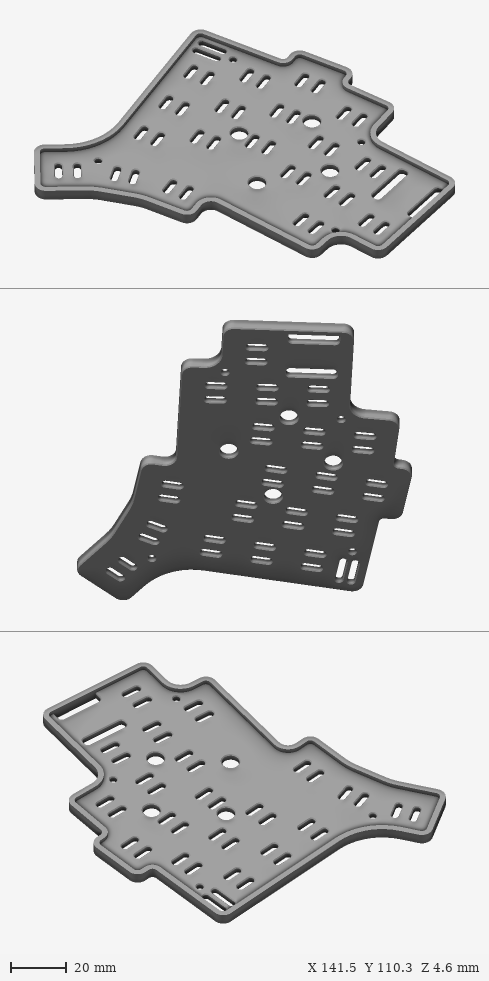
import cadquery as cq
import math

total_height = 4.6
floor_thickness = 2.8
rim_width = 2.1
bottom_chamfer = 0.4
hole_chamfer = 0.4

corner_radius = 4.0
step_radius = 1.9
notch_radius = 6.0
bend_radius = 21.0
hollow_radius = 22.5

ring_tilt = -4
little_tilt = -8
thumb_middle_tilt = 15
thumb_end_tilt = 30

outline_sides = [
    ((-51.54, 16.6), 90, corner_radius),
    ((-31.3, 47.5), 0, step_radius),
    ((-14.93, 49.9), 90, corner_radius),
    ((-1.5, 55.155), 0, corner_radius),
    ((10.21, 49.9), 90, step_radius),
    ((20.7, 47.02), ring_tilt, corner_radius),
    ((31.8, 36.6), 90 + ring_tilt, notch_radius),
    ((52.6, 24.65), little_tilt, corner_radius),
    ((67.67, -2.1), 90 + little_tilt, corner_radius),
    ((55.8, -23.67), little_tilt, notch_radius),
    ((44.43, -30.0), 90 + little_tilt, corner_radius),
    ((21.9, -33.11), little_tilt, corner_radius),
    ((-4.18, -36.0), 90, corner_radius),
    ((-14.3, -41.52), 0, bend_radius),
    ((-35.3, -44.31), thumb_middle_tilt, bend_radius),
    ((-50.0, -50.74), thumb_end_tilt, corner_radius),
    ((-66.35, -45.94), 90 + thumb_end_tilt, corner_radius),
    ((-65.7, -31.5), thumb_end_tilt, hollow_radius),
]

key_pitch = 18.45
slot_spacing = 6.8
slot_length = 7.6
slot_width = 2.6
key_columns = [
    (-39.23, 9.2, 0),
    (-20.67, 17.35, 0),
    (-2.15, 24.8, 0),
    (18.2, 16.75, ring_tilt),
    (35.9, -3.5, little_tilt),
]
single_keys = [
    (54.07, -10.68, little_tilt),
    (-16.43, -28.94, 0),
    (-36.9, -31.63, thumb_middle_tilt),
    (-55.98, -39.55, thumb_end_tilt),
]

strap_slot_length = 11.1
strap_slot_width = 2.6
strap_slot_centers = [(-42.15, 42.78), (-42.15, 38.37)]

small_hole_diameter = 2.6
small_hole_centers = [(-32.47, 40.66), (29.05, 25.0), (43.55, -20.25), (-49.0, -29.7)]
large_hole_diameter = 6.4
large_hole_centers = [(8.06, 26.05), (-11.67, 7.73), (26.47, 6.38), (6.66, -11.96)]

window_length = 18.3
window_corner = 1.5
inner_window = (48.81, 10.48, 3.8)
outer_window = (65.5, 8.18, 5.1)


def unit(angle):
    """Unit vector at an angle from +X."""
    return cq.Vector(math.cos(math.radians(angle)), math.sin(math.radians(angle)))


def crossing(side_a, side_b):
    """Point where the lines of two outline sides cross."""
    start_a, start_b = cq.Vector(*side_a[0]), cq.Vector(*side_b[0])
    along_a, along_b = unit(side_a[1]), unit(side_b[1])
    distance = (start_b - start_a).cross(along_b).z / along_a.cross(along_b).z
    return start_a + along_a * distance


def outline():
    """Closed outline with a tangent arc at every corner."""
    next_sides = outline_sides[1:] + outline_sides[:1]
    corners = [crossing(side, following) for side, following in zip(outline_sides, next_sides)]
    arcs = []
    for index, corner in enumerate(corners):
        radius = outline_sides[index][2]
        to_previous = (corners[index - 1] - corner).normalized()
        to_next = (corners[(index + 1) % len(corners)] - corner).normalized()
        half_angle = to_previous.getAngle(to_next) / 2
        tangent_length = radius / math.tan(half_angle)
        arc_distance = radius / math.sin(half_angle) - radius
        start = corner + to_previous * tangent_length
        middle = corner + (to_previous + to_next).normalized() * arc_distance
        end = corner + to_next * tangent_length
        arcs.append((start, middle, end))

    path = cq.Workplane("XY").moveTo(arcs[-1][2].x, arcs[-1][2].y)
    for start, middle, end in arcs:
        path = path.lineTo(start.x, start.y).threePointArc((middle.x, middle.y), (end.x, end.y))
    return path.close()


def make_tray():
    """Plate with a raised rim and a chamfered bottom edge."""
    body = outline().extrude(total_height).faces("<Z").chamfer(bottom_chamfer)
    return body.cut(inside_rim().translate((0, 0, floor_thickness)))


def inside_rim():
    """Prism of the area enclosed by the rim."""
    return outline().offset2D(-rim_width).extrude(total_height)


def opening(profile, x, y, angle=0):
    """Cutter through the floor, chamfered at both ends; profile(grow) draws the shape enlarged by grow."""
    through = profile(0).extrude(floor_thickness)
    lower_mouth = profile(hole_chamfer).extrude(hole_chamfer, taper=45)
    upper_mouth = profile(hole_chamfer).extrude(-hole_chamfer, taper=45).translate((0, 0, floor_thickness))
    cutter = through.union(lower_mouth).union(upper_mouth)
    return cutter.rotate((0, 0, 0), (0, 0, 1), angle).translate((x, y, 0))


def slot_opening(x, y, length, width, angle):
    def profile(grow):
        return cq.Workplane("XY").slot2D(length + 2 * grow, width + 2 * grow)

    return opening(profile, x, y, angle)


def round_opening(x, y, diameter):
    def profile(grow):
        return cq.Workplane("XY").circle(diameter / 2 + grow)

    return opening(profile, x, y)


def window_opening(x, y, width):
    def profile(grow):
        shape = cq.Sketch().rect(width + 2 * grow, window_length + 2 * grow)
        return cq.Workplane("XY").placeSketch(shape.vertices().fillet(window_corner + grow))

    return opening(profile, x, y, little_tilt)


def key_slots(x, y, tilt):
    """Pair of slots either side of a key center."""
    offset = unit(tilt) * (slot_spacing / 2)
    return [
        slot_opening(x + side * offset.x, y + side * offset.y, slot_length, slot_width, 90 + tilt)
        for side in (-1, 1)
    ]


def key_positions():
    """Center and tilt of every key."""
    keys = list(single_keys)
    for x, y, tilt in key_columns:
        step = unit(90 + tilt) * key_pitch
        keys += [(x + row * step.x, y + row * step.y, tilt) for row in (-1, 0, 1)]
    return keys


def make_openings():
    """All cutters through the floor."""
    cutters = [cutter for key in key_positions() for cutter in key_slots(*key)]
    cutters += [slot_opening(x, y, strap_slot_length, strap_slot_width, 0) for x, y in strap_slot_centers]
    cutters += [round_opening(x, y, small_hole_diameter) for x, y in small_hole_centers]
    cutters += [round_opening(x, y, large_hole_diameter) for x, y in large_hole_centers]
    cutters.append(window_opening(*inner_window))
    cutters.append(window_opening(*outer_window).intersect(inside_rim()))
    return cutters


tray = make_tray().val()
result = cq.Workplane(tray.cut(*[cutter.val() for cutter in make_openings()]))